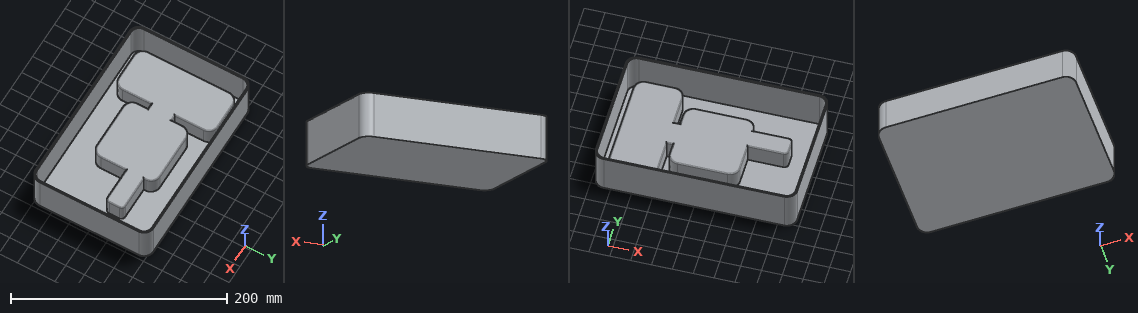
import cadquery as cq

length = 193.0
width = 126.0
height = 42.0
corner_radius = 10.0
wall = 1.5
floor = 1.5

island_height = 20.0
island_margin = 10.0
pad_radius = 9.6
edge_rounding = 1.0
wide_pad_length = 46.9
square_pad_size = 67.4
square_pad_left = -33.5
bridge_width = 25.0
finger_right = 72.0
finger_width = 19.0
finger_center_y = 12.5
finger_radius = 4.0

wide_pad_left = island_margin - length / 2
wide_pad_width = width - 2 * island_margin
wide_pad_center_x = wide_pad_left + wide_pad_length / 2
square_pad_center_x = square_pad_left + square_pad_size / 2


def block(size_x, size_y, size_z, center_x=0, center_y=0, base_z=0):
    """Upright block standing on base_z."""
    return cq.Workplane("XY").box(size_x, size_y, size_z, centered=(True, True, False)).translate(
        (center_x, center_y, base_z)
    )


def make_tray():
    outside = block(length, width, height).edges("|Z").fillet(corner_radius)
    cavity = block(length - 2 * wall, width - 2 * wall, height, base_z=floor)
    return outside.cut(cavity.edges("|Z").fillet(corner_radius - wall))


def make_island():
    wide_pad = block(wide_pad_length, wide_pad_width, island_height, wide_pad_center_x)
    wide_pad = wide_pad.edges("|Z").fillet(pad_radius)

    square_pad = block(square_pad_size, square_pad_size, island_height, square_pad_center_x)
    square_pad = square_pad.edges("|Z").fillet(pad_radius)

    bridge_length = square_pad_center_x - wide_pad_center_x
    bridge_center_x = (square_pad_center_x + wide_pad_center_x) / 2
    bridge = block(bridge_length, bridge_width, island_height, bridge_center_x)

    finger_length = finger_right - square_pad_center_x
    finger_center_x = (finger_right + square_pad_center_x) / 2
    finger = block(finger_length, finger_width, island_height, finger_center_x, finger_center_y)
    finger = finger.edges("|Z and >X").fillet(finger_radius)

    island = wide_pad.union(bridge).union(square_pad).union(finger)
    island = island.faces(">Z").edges().fillet(edge_rounding)
    return island.translate((0, 0, floor))


result = make_tray().union(make_island())